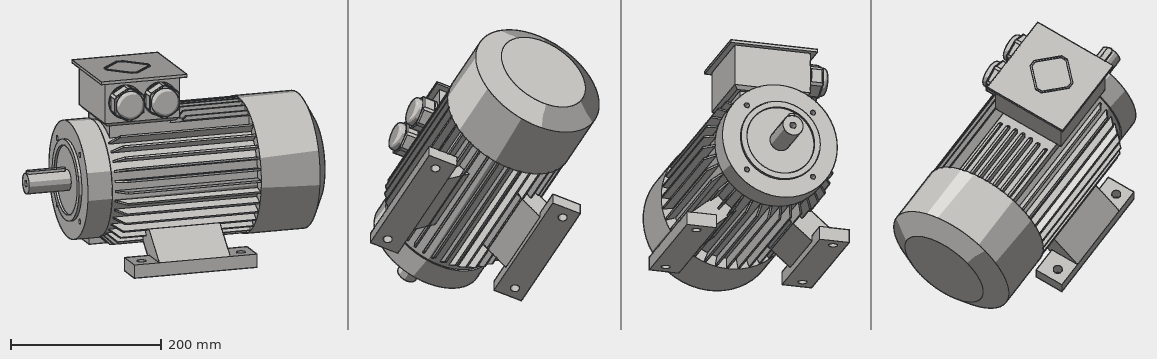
import cadquery as cq
import math


SHAFT_END = -60.0
FLANGE_BACK = 34.5
FIN_START = 39.5
COWL_START = 240.0
COWL_SHOULDER = 323.0
COWL_END = 340.0

BODY_R = 155.0 / 2
COWL_R = 185.0 / 2
COWL_END_R = 63.0
FLANGE_R = 160.0 / 2
SPIGOT_R = 110.0 / 2
SPIGOT_LENGTH = 4.0
RECESS_R = 94.0 / 2
RECESS_DEPTH = 3.0
FLANGE_HOLE_D = 7.0
FLANGE_HOLE_DEPTH = 16.0
FLANGE_HOLE_CIRCLE_R = 130.0 / 2
DRILL_TIP_ANGLE = 118.0

SHAFT_R = 28.0 / 2
SHAFT_HOLE_D = 8.5
SHAFT_HOLE_DEPTH = 20.0
KEY_WIDTH = 8.0
KEY_TOP = 17.0
KEY_BOTTOM = 10.0
KEY_END_GAP = 1.0

FIN_R = 91.0
FIN_THICKNESS = 2.6
FIN_OVERLAP = 4.0
FIN_PITCH_ANGLE = 10
FIN_LAST_ANGLE = 50
TOP_FIN_THICKNESS = 3.0
TOP_FIN_PITCH = 12.0
TOP_FINS_PER_SIDE = 3
TOP_FIN_START = 148.5
TOP_FIN_CHAMFER = 5.0

BOX_Y = 86.0
BOX_SIDE = 105.0
BOX_BOTTOM = 83.0
BOX_CHAMFER = 5.0
LID_SIDE = 121.0
LID_BOTTOM = 144.0
LID_TOP = 148.0
NECK_SIDE = 85.5
PAD_TOP = 78.5
BADGE_HALF = 31.0
BADGE_Y = 83.0
BADGE_CORNER_HALF = 5.0
BADGE_RIM = 2.5
BADGE_HEIGHT = 1.0

GLAND_SPACING = 49.0
GLAND_Z = 116.0
NUT_R = 45.5 / 2
NUT_FLAT_R = 21.0
NUT_FLATS = 6
NUT_LENGTH = 20.5
NUT_SHOULDER = 3.5
NUT_CHAMFER_LENGTH = 2.0
NUT_CHAMFER_DEPTH = 1.0
GLAND_CAP_R = 38.0 / 2
GLAND_CAP_LENGTH = 8.0
GLAND_CAP_FILLET = 4.5

FOOT_BOTTOM = -112.0
FOOT_HEIGHT = 18.5
FOOT_WIDTH = 41.0
FEET_SPAN = 226.0
FOOT_START = 54.0
FOOT_LENGTH = 173.0
FOOT_HOLE_D = 12.0
FOOT_HOLE_HALF_SPAN = 95.0
FOOT_HOLE_FIRST = 70.0
FOOT_HOLE_PITCH = 140.0
LEG_START = 89.0
LEG_LENGTH = 100.0
LEG_ANGLE = 40.0
LEG_REACH = 88.0
LEG_INNER_DROP = 8.0


def cylinder_y(radius, start, end):
    """Cylinder about the shaft axis between two Y positions."""
    return cq.Workplane("XZ", origin=(0, start, 0)).circle(radius).extrude(start - end)


def box_between(x, y, z):
    """Box given by its (low, high) limits along each axis."""
    size = [high - low for low, high in (x, y, z)]
    return cq.Workplane("XY").box(*size, centered=False).translate((x[0], y[0], z[0]))


def drill(diameter, depth, x, y, z):
    """Blind hole running toward +Y from a face at Y = y, with a conical bottom."""
    radius = diameter / 2
    tip = radius / math.tan(math.radians(DRILL_TIP_ANGLE / 2))
    outline = [(0, 0), (radius, 0), (radius, depth), (0, depth + tip)]
    hole = cq.Workplane("XY").polyline(outline).close().revolve(360, (0, 0), (0, 1))
    return hole.translate((x, y, z))


def make_cowl():
    outline = [
        (0, COWL_START),
        (COWL_R, COWL_START),
        (COWL_R, COWL_SHOULDER),
        (COWL_END_R, COWL_END),
        (0, COWL_END),
    ]
    return cq.Workplane("XY").polyline(outline).close().revolve(360, (0, 0), (0, 1))


def make_radial_fins():
    """Radial fins all round except under the terminal box, with 45 degree front ends."""
    root = BODY_R - FIN_OVERLAP
    outline = [
        (root, FIN_START),
        (BODY_R, FIN_START),
        (FIN_R, FIN_START + FIN_R - BODY_R),
        (FIN_R, COWL_START),
        (root, COWL_START),
    ]
    fin = cq.Workplane("XY").polyline(outline).close().extrude(FIN_THICKNESS / 2, both=True)
    fins = cq.Workplane("XY")
    for angle in range(-180 - FIN_LAST_ANGLE, FIN_LAST_ANGLE + 1, FIN_PITCH_ANGLE):
        fins = fins.add(fin.rotate((0, 0, 0), (0, 1, 0), -angle))
    return fins.combine()


def make_top_fins():
    """Upright fins on the pad behind the terminal box."""
    fins = cq.Workplane("XY")
    for number in range(-TOP_FINS_PER_SIDE, TOP_FINS_PER_SIDE + 1):
        x = number * TOP_FIN_PITCH
        top = math.sqrt(FIN_R**2 - x**2)
        outline = [
            (TOP_FIN_START, PAD_TOP - FIN_OVERLAP),
            (TOP_FIN_START, top - TOP_FIN_CHAMFER),
            (TOP_FIN_START + TOP_FIN_CHAMFER, top),
            (COWL_START, top),
            (COWL_START, PAD_TOP - FIN_OVERLAP),
        ]
        fin = cq.Workplane("YZ").polyline(outline).close().extrude(TOP_FIN_THICKNESS / 2, both=True)
        fins = fins.add(fin.translate((x, 0, 0)))
    return fins.combine()


def make_terminal_box():
    half_neck = NECK_SIDE / 2
    neck_x = (-half_neck, half_neck)
    neck_start = BOX_Y - half_neck
    pad = box_between(neck_x, (neck_start, COWL_START), (0, PAD_TOP))
    neck = box_between(neck_x, (neck_start, BOX_Y + half_neck), (0, BOX_BOTTOM))
    center = cq.Workplane("XY", origin=(0, BOX_Y, BOX_BOTTOM))
    box = center.rect(BOX_SIDE, BOX_SIDE).extrude(LID_BOTTOM - BOX_BOTTOM)
    box = box.faces("<Z").chamfer(BOX_CHAMFER)
    lid_plane = cq.Workplane("XY", origin=(0, BOX_Y, LID_BOTTOM))
    lid = lid_plane.rect(LID_SIDE, LID_SIDE).extrude(LID_TOP - LID_BOTTOM)
    return pad.union(neck).union(box).union(lid).union(make_badge_rim())


def make_badge_rim():
    """Raised diamond-shaped rim with cut corners on the lid."""
    half = BADGE_HALF
    corner = BADGE_CORNER_HALF
    outline = [
        (half, corner),
        (corner, half),
        (-corner, half),
        (-half, corner),
        (-half, -corner),
        (-corner, -half),
        (corner, -half),
        (half, -corner),
    ]
    plane = cq.Workplane("XY", origin=(0, BADGE_Y, LID_TOP))
    plate = plane.polyline(outline).close().extrude(BADGE_HEIGHT)
    opening = plane.polyline(outline).close().offset2D(-BADGE_RIM).extrude(BADGE_HEIGHT)
    return plate.cut(opening)


def make_gland(y):
    """Cable gland: round nut with six flats and a smaller cap with a rounded rim."""
    plane = cq.Workplane("YZ", origin=(BOX_SIDE / 2, y, GLAND_Z))
    half_flat_angle = 180 / NUT_FLATS
    hexagon_d = 2 * NUT_FLAT_R / math.cos(math.radians(half_flat_angle))
    hexagon_plane = plane.transformed(rotate=(0, 0, half_flat_angle))
    hexagon = hexagon_plane.polygon(NUT_FLATS, hexagon_d).extrude(NUT_LENGTH)
    hexagon = hexagon.faces(">X").chamfer(NUT_CHAMFER_LENGTH, NUT_CHAMFER_DEPTH)
    nut = plane.circle(NUT_R).extrude(NUT_LENGTH).intersect(hexagon)
    shoulder = plane.circle(NUT_R).extrude(NUT_SHOULDER)
    cap = plane.circle(GLAND_CAP_R).extrude(NUT_LENGTH + GLAND_CAP_LENGTH)
    cap = cap.faces(">X").edges().fillet(GLAND_CAP_FILLET)
    return nut.union(shoulder).union(cap)


def make_foot():
    """Foot plate with two bolt holes and a sloping leg, on the +X side."""
    outer = FEET_SPAN / 2
    inner = outer - FOOT_WIDTH
    top = FOOT_BOTTOM + FOOT_HEIGHT
    foot_y = (FOOT_START, FOOT_START + FOOT_LENGTH)
    plate = box_between((inner, outer), foot_y, (FOOT_BOTTOM, top))
    for number in range(2):
        hole_y = FOOT_HOLE_FIRST + number * FOOT_HOLE_PITCH
        plane = cq.Workplane("XY", origin=(FOOT_HOLE_HALF_SPAN, hole_y, FOOT_BOTTOM))
        plate = plate.cut(plane.circle(FOOT_HOLE_D / 2).extrude(FOOT_HEIGHT))

    reach_x = LEG_REACH * math.cos(math.radians(LEG_ANGLE))
    reach_z = LEG_REACH * math.sin(math.radians(LEG_ANGLE))
    inner_z = top - LEG_INNER_DROP
    outline = [
        (outer, top),
        (outer - reach_x, top + reach_z),
        (inner - reach_x, inner_z + reach_z),
        (inner, inner_z),
    ]
    leg_plane = cq.Workplane("XZ", origin=(0, LEG_START, 0))
    leg = leg_plane.polyline(outline).close().extrude(-LEG_LENGTH)
    return plate.union(leg)


def make_flange():
    flange = cylinder_y(FLANGE_R, 0, FLANGE_BACK)
    flange = flange.union(cylinder_y(SPIGOT_R, -SPIGOT_LENGTH, 0))
    flange = flange.cut(cylinder_y(RECESS_R, -SPIGOT_LENGTH, RECESS_DEPTH - SPIGOT_LENGTH))
    offset = FLANGE_HOLE_CIRCLE_R / math.sqrt(2)
    for x in (-offset, offset):
        for z in (-offset, offset):
            flange = flange.cut(drill(FLANGE_HOLE_D, FLANGE_HOLE_DEPTH, x, 0, z))
    return flange


def make_shaft():
    """Shaft with a round-ended key on top and a blind hole in its end."""
    key_front = SHAFT_END + KEY_END_GAP
    key_length = -SPIGOT_LENGTH - key_front
    key_plane = cq.Workplane("XY", origin=(0, key_front + key_length / 2, KEY_BOTTOM))
    key = key_plane.slot2D(key_length, KEY_WIDTH, 90).extrude(KEY_TOP - KEY_BOTTOM)
    shaft = cylinder_y(SHAFT_R, SHAFT_END, 0).union(key)
    return shaft.cut(drill(SHAFT_HOLE_D, SHAFT_HOLE_DEPTH, 0, SHAFT_END, 0))


motor = cylinder_y(BODY_R, FLANGE_BACK, COWL_START)
motor = motor.union(make_cowl())
motor = motor.union(make_radial_fins())
motor = motor.union(make_terminal_box())
motor = motor.union(make_top_fins())
for side in (-1, 1):
    motor = motor.union(make_gland(BOX_Y + side * GLAND_SPACING / 2))
right_foot = make_foot()
motor = motor.union(right_foot).union(right_foot.mirror("YZ"))
motor = motor.union(make_flange()).union(make_shaft())

result = motor